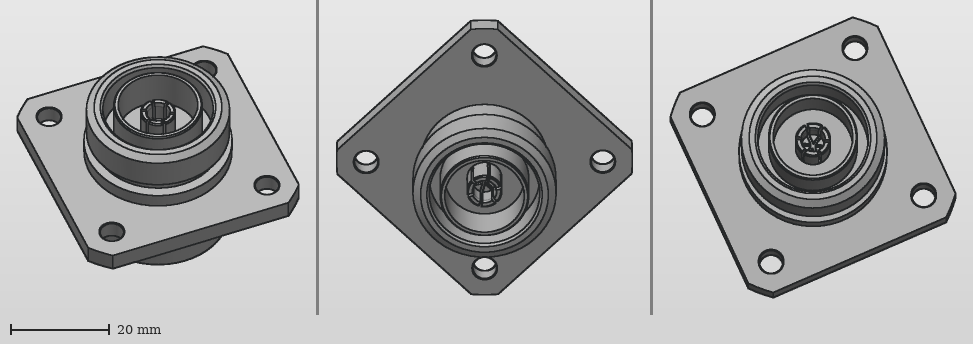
import cadquery as cq

plate_side = 46.0
plate_thickness = 4.0
plate_corner_radius = 29.95
hole_offset = 16.95
hole_diameter = 4.8
hole_chamfer = 0.2

reach_above = 18.0
reach_below = 16.0

neck_radius = 12.93
collar_radius = 15.0
collar_height = 3.1
ring_radius = 14.5
ring_length = 8.33
ring_chamfer_height = 0.9
ring_setback = 0.75

socket_depth = 8.45
socket_radius = 11.2
mouth_radius = 11.7
mouth_chamfer_height = 0.5

tube_outer_radius = 8.95
tube_inner_radius = 8.05
tube_chamfer_height = 0.35
tube_chamfer_width = 0.25

contact_setback = 2.15
contact_height = socket_depth - contact_setback
contact_radius = 3.55
contact_chamfer = 0.28
contact_bore_radius = 2.3
contact_bore_depth = 4.6
contact_mouth_radius = 2.5
contact_mouth_depth = 0.87
slot_width = 0.55
slot_depth = 5.5
slot_count = 3


def cylinder(radius, height, base=0.0):
    return cq.Workplane("XY").workplane(offset=base).circle(radius).extrude(height)


def make_plate():
    """Square plate with rounded-off corners and four chamfered through holes."""
    block = cq.Workplane("XY").rect(plate_side, plate_side).extrude(plate_thickness)
    plate = block.intersect(cylinder(plate_corner_radius, plate_thickness))
    plate = (
        plate.faces(">Z")
        .workplane(origin=(0, 0, plate_thickness))
        .rect(2 * hole_offset, 2 * hole_offset, forConstruction=True)
        .vertices()
        .hole(hole_diameter)
    )
    hole_rims = cq.selectors.RadiusNthSelector(0)
    return plate.faces("<Z or >Z").edges("%CIRCLE").edges(hole_rims).chamfer(hole_chamfer)


def make_shell(length):
    """Neck and chamfered end ring around a blind socket."""
    ring_top = length - ring_setback
    ring_bottom = ring_top - ring_length
    floor = length - socket_depth
    return (
        cq.Workplane("XZ")
        .lineTo(neck_radius, 0)
        .lineTo(neck_radius, ring_bottom)
        .lineTo(ring_radius, ring_bottom + ring_chamfer_height)
        .lineTo(ring_radius, ring_top - ring_chamfer_height)
        .lineTo(neck_radius, ring_top)
        .lineTo(mouth_radius, ring_top)
        .lineTo(socket_radius, ring_top - mouth_chamfer_height)
        .lineTo(socket_radius, floor)
        .lineTo(0, floor)
        .close()
        .revolve(360, (0, 0, 0), (0, 1, 0))
    )


def make_tube(floor):
    """Thin tube standing on the socket floor."""
    outside = cylinder(tube_outer_radius, socket_depth, floor)
    outside = outside.faces(">Z").chamfer(tube_chamfer_height, tube_chamfer_width)
    return outside.cut(cylinder(tube_inner_radius, socket_depth, floor))


def make_contact(floor):
    """Central contact with a flared bore, split into fingers by crossing slots."""
    tip = floor + contact_height
    contact = (
        cylinder(contact_radius, contact_height, floor)
        .faces(">Z")
        .chamfer(contact_chamfer)
        .cut(cylinder(contact_bore_radius, contact_bore_depth, tip - contact_bore_depth))
    )
    flare = cq.Solid.makeCone(
        contact_bore_radius,
        contact_mouth_radius,
        contact_mouth_depth,
        pnt=cq.Vector(0, 0, tip - contact_mouth_depth),
    )
    contact = contact.cut(cq.Workplane(flare))
    for i in range(slot_count):
        slot = (
            cq.Workplane("XY")
            .box(2 * contact_radius, slot_width, slot_depth)
            .rotate((0, 0, 0), (0, 0, 1), i * 180 / slot_count)
            .translate((0, 0, tip - slot_depth / 2))
        )
        contact = contact.cut(slot)
    return contact


def make_end(length):
    """Complete barrel end standing on Z = 0, with its tube end at Z = length."""
    floor = length - socket_depth
    return make_shell(length).union(make_tube(floor)).union(make_contact(floor))


collar = cylinder(collar_radius, collar_height, plate_thickness)
upper_end = make_end(reach_above)
lower_end = make_end(reach_below).mirror("XY")

result = make_plate().union(collar).union(upper_end).union(lower_end)